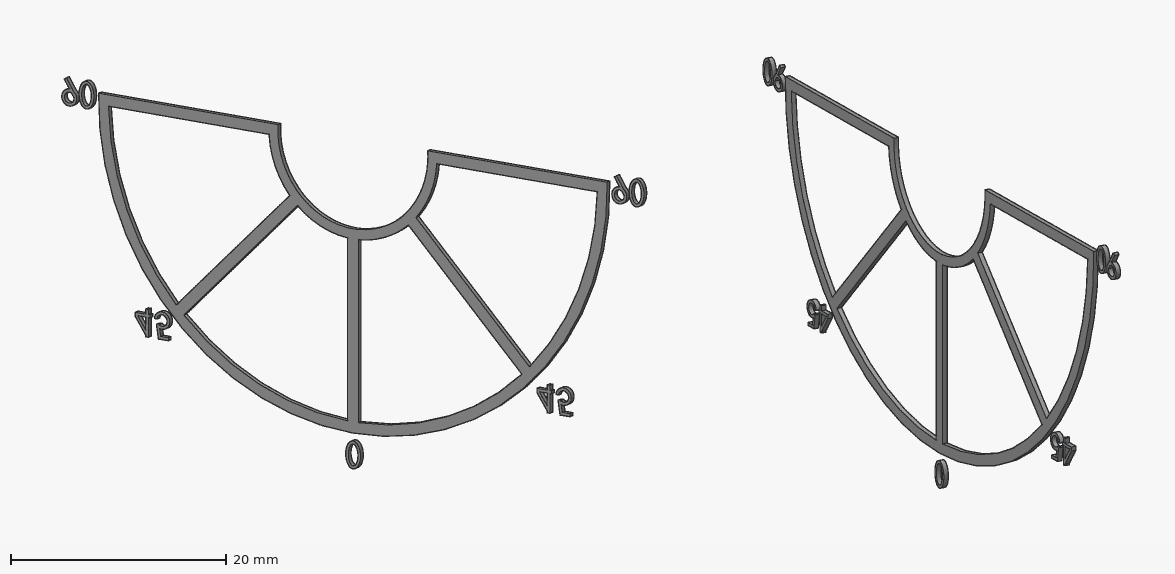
import cadquery as cq
import math


thickness = 0.5

rim_outer_radius = 28.0
bar_width = 1.1
rim_inner_radius = rim_outer_radius - bar_width
hub_inner_radius = 8.25
hub_outer_radius = 9.25
spoke_width = 1.2
spoke_angles = (45, 90, 135)

digit_height = 2.7
digit_width = 1.65
stroke = 0.3
digit_pitch = 1.895

four_bar_height = 0.65
four_bar_end = 1.62
four_stem_x = 1.3

five_bowl_radius = 0.85
five_bowl_x = 1.05
five_gap_start = 125
five_gap_end = 185
five_leg_x = 0.65
five_bar_end = 1.75

nine_bowl_radius = digit_width / 2
nine_tail_angle = -10
nine_foot_x = 0.4
nine_foot_y = 0.085

labels = (
    ("90", -32.045, -1.5),
    ("45", -23.95, 19.5),
    ("0", -0.8, 28.75),
    ("45", 20.25, 20.05),
    ("90", 28.5, -1.35),
)


def dial_plane(x=0.0, y=0.0):
    """Workplane at a point of the dial, with local y pointing along -Z."""
    plane = cq.Plane(origin=(x, 0, -y), xDir=(1, 0, 0), normal=(0, 1, 0))
    return cq.Workplane(plane)


def ring(plane, x, y, outer_radius, width):
    """Flat ring centred at a local point."""
    return plane.center(x, y).circle(outer_radius).circle(outer_radius - width).extrude(thickness)


def line_stroke(plane, start, end):
    """Straight pen stroke with square ends, centred on the line from start to end."""
    run = end[0] - start[0]
    rise = end[1] - start[1]
    length = math.hypot(run, rise)
    angle = math.degrees(math.atan2(rise, run))
    return (
        plane.center((start[0] + end[0]) / 2, (start[1] + end[1]) / 2)
        .transformed(rotate=(0, 0, angle))
        .rect(length, stroke)
        .extrude(thickness)
    )


def polar(radius, degrees):
    """Local point at a radius and an angle from local x."""
    angle = math.radians(degrees)
    return radius * math.cos(angle), radius * math.sin(angle)


def make_frame():
    plane = dial_plane()
    side = 2 * rim_outer_radius
    arcs = ring(plane, 0, 0, rim_outer_radius, bar_width).union(
        ring(plane, 0, 0, hub_outer_radius, hub_outer_radius - hub_inner_radius)
    )

    kept_half = plane.center(0, (side - bar_width) / 2).rect(side, side).extrude(thickness)

    bars = plane.rect(side, bar_width).extrude(thickness)
    for angle in spoke_angles:
        spoke = (
            plane.transformed(rotate=(0, 0, angle))
            .center(rim_inner_radius / 2, 0)
            .rect(rim_inner_radius + bar_width, spoke_width)
            .extrude(thickness)
        )
        bars = bars.union(spoke)
    disc = plane.circle(rim_outer_radius).extrude(thickness)
    hub_hole = plane.circle(hub_inner_radius).extrude(thickness)
    return arcs.intersect(kept_half).union(bars.intersect(disc)).cut(hub_hole)


def make_zero(plane):
    half_width = digit_width / 2
    half_height = digit_height / 2
    return (
        plane.center(half_width, half_height)
        .ellipse(half_width, half_height)
        .ellipse(half_width - stroke, half_height - stroke)
        .extrude(thickness)
    )


def make_four(plane):
    bar_tip = (0, four_bar_height)
    stem_head = (four_stem_x + stroke / 2, digit_height)
    stem = line_stroke(plane, (four_stem_x, 0), (four_stem_x, digit_height))
    bar = line_stroke(plane, bar_tip, (four_bar_end, four_bar_height))

    slant = line_stroke(plane, bar_tip, stem_head)
    corner = (
        plane.moveTo(0, four_bar_height - stroke / 2)
        .rect(stem_head[0], digit_height - four_bar_height + stroke / 2, centered=False)
        .extrude(thickness)
    )
    return stem.union(bar).union(slant.intersect(corner))


def make_five(plane):
    centre_y = five_bowl_radius
    reach = 2 * five_bowl_radius
    gap_start = polar(reach, five_gap_start)
    gap_end = polar(reach, five_gap_end)

    gap = (
        plane.center(five_bowl_x, centre_y)
        .polyline([(0, 0), gap_start, gap_end])
        .close()
        .extrude(thickness)
    )
    bowl = ring(plane, five_bowl_x, centre_y, five_bowl_radius, stroke).cut(gap)

    bowl_end = polar(five_bowl_radius - stroke / 2, five_gap_start)
    leg_foot = (five_bowl_x + bowl_end[0] - stroke / 4, centre_y + bowl_end[1] - stroke / 2)
    leg = line_stroke(plane, leg_foot, (five_leg_x + stroke / 2, digit_height))
    bar_y = digit_height - stroke / 2
    bar = line_stroke(plane, (five_leg_x, bar_y), (five_bar_end, bar_y))
    return bowl.union(leg).union(bar)


def make_nine(plane):
    centre_y = digit_height - nine_bowl_radius
    bowl = ring(plane, nine_bowl_radius, centre_y, nine_bowl_radius, stroke)
    tail_x, tail_y = polar(nine_bowl_radius - stroke / 2, nine_tail_angle)
    tail_head = (nine_bowl_radius + tail_x, centre_y + tail_y)
    tail = line_stroke(plane, tail_head, (nine_foot_x, nine_foot_y))
    return bowl.union(tail)


digit_makers = {"0": make_zero, "4": make_four, "5": make_five, "9": make_nine}

frame = make_frame()

digits = []
for text, left, foot in labels:
    for place, character in enumerate(text):
        plane = dial_plane(left + place * digit_pitch, foot)
        digits.append(digit_makers[character](plane))

bodies = [frame, *digits]
result = cq.Compound.makeCompound([body.solids().val() for body in bodies])